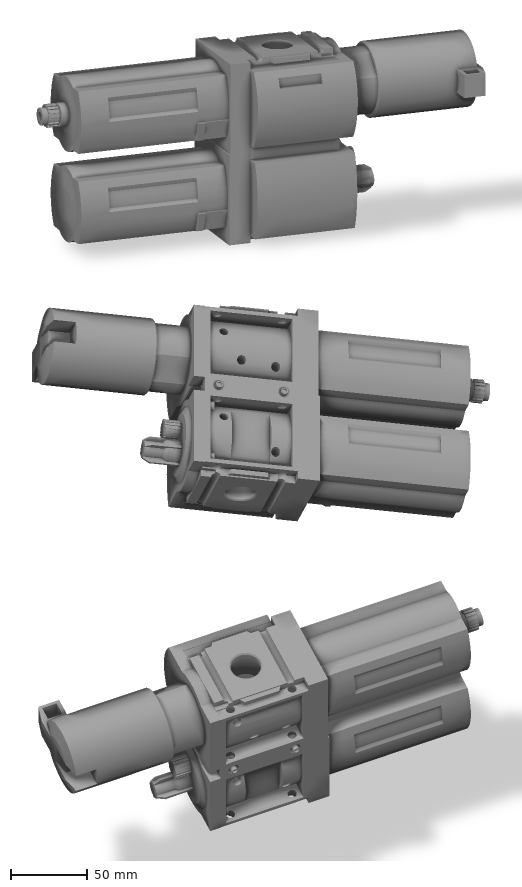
import cadquery as cq
import math


stack_height = 124.0
unit_half_height = stack_height / 4
upper_z = unit_half_height
lower_z = -unit_half_height
body_width = 63.0
half_width = body_width / 2
core_half_height = 25.7
flange_half_height = 26.0
core_back_y = 39.0
rail_half_length = 31.5
upper_front_y = -45.3
lower_front_y = -46.2
rail_depth = unit_half_height - core_half_height
platform_half_width = 23.8
collar_radius = 30.5

channel_diameter = 5.5
channel_y = 22.0
corner_step_height = 1.0
corner_step_x = 20.5
lip_width = 3.3
lip_half_length = 14.5
lip_chamfer = 2.0
lip_height = 3.3
lip_top_gap = 1.0
port_diameter = 21.7
port_bore_diameter = 20.0
port_chamfer = (port_diameter - port_bore_diameter) / 2
port_depth = 21.0
nut_hole_diameter = 6.0
nut_hole_x = -26.0

pocket_half_length = 27.8
pocket_half_height = 23.0
drum_radius = 29.0
drum_half_height = 21.0
pocket_floor_x = -10.5
screw_hole_diameter = 6.0
screw_hole_y = 17.5
screw_hole_z = 11.0
screw_hole_floor_x = -15.7
gauge_hole_y = 5.7
gauge_hole_z = -8.8
flat_half_height = 18.7
flat_back_y = 12.5
flat_front_y = -14.2
flat_x = -math.sqrt(drum_radius**2 - flat_half_height**2)
clip_diameter = 7.2
clip_width = 4.0
clip_x = -23.5

cover_half_height = flange_half_height
upper_cover_edge_x = 37.7
upper_cover_crown_x = 46.0
lower_cover_edge_x = 40.5
lower_cover_crown_x = 45.0
label_half_length = 15.0
label_bottom_z = 14.2
label_top_z = 21.0
label_floor_x = 39.5

bowl_end_y = -149.0
bowl_side_x = 27.8
bowl_corner_x = 22.0
bowl_flat_z = 21.5
bowl_bulge_x = 12.5
bowl_crown_z = 25.7
cap_base_diameter = 43.0
cap_top_diameter = 23.5
cap_height = 1.0
sight_back_y = -66.7
sight_front_y = -129.2
sight_top_z = 16.0
sight_floor_top_z = 13.0
sight_floor_bottom_z = 2.0
sight_outer_x = 29.5
sight_rim_x = 24.8
sight_floor_top_x = 23.8
sight_floor_bottom_x = 26.0
sight_floor_middle_x = 25.5
latch_top_z = -7.5
latch_bottom_z = -20.5
latch_slant = 4.5
latch_inner_x = 26.0
latch_outer_x = 29.0
button_outer_x = 30.8
button_back_y = -62.5
button_front_y = -67.0

drain_diameter = 15.7
drain_neck_end_y = -155.2
drain_groove_diameter = 11.8
knurl_start_y = -156.7
knurl_end_y = -163.5
knurl_groove_count = 16
knurl_groove_width = 1.2
knurl_groove_depth = 1.2
tip_start_y = -164.8
tip_end_y = -167.5
tip_diameter = 11.8
drain_bore_diameter = 6.0
drain_bore_depth = 6.0

knob_diameter = 51.0
knob_front_y = 62.0
knob_edge_y = 131.5
knob_back_y = 134.3
knob_crown_diameter = 30.8
knob_chamfer = 1.0
neck_diameter = 45.3
neck_flat_distance = 20.5
neck_flat_angle = 45
slot_half_height = 7.8
slot_start_y = 116.8
slot_floor_x = -7.5
lock_tab_x = 39.0
lock_bevel_length = 11.8
lock_window_inner_x = 27.2
lock_window_outer_x = 36.8
lock_window_front_y = 119.5
lock_window_back_y = 129.8

head_diameter = 51.0
head_top_diameter = 41.7
head_top_y = 41.7
filler_z = 10.3
filler_diameter = 13.5
filler_end_y = 52.5
filler_rib_count = 16
filler_groove_width = 1.0
filler_groove_depth = 0.75
post_z = -5.7
post_lower_diameter = 15.7
post_shoulder_y = 50.7
post_upper_diameter = 11.8
post_waist_y = 53.5
post_end_y = 66.0
post_chamfer_length = 4.5
post_chamfer_height = 2.7
fin_height = 18.7
fin_thickness = 1.8

frame_half_height = rail_depth
frame_half_length = rail_half_length
frame_inner_x = platform_half_width
frame_right_overhang = 0.5
frame_right_pad_half_height = 4.2
bolt_diameter = 4.5
bolt_end_x = -33.5
bolt_socket_diameter = 3.3
bolt_socket_depth = 1.5
countersink_diameter = 7.8


def box(x0, x1, y0, y1, z0, z1):
    """Box between two corners."""
    return cq.Workplane("XY").box(x1 - x0, y1 - y0, z1 - z0, centered=False).translate((x0, y0, z0))


def y_cylinder(diameter, y0, y1, x=0, z=0):
    """Cylinder along Y from y0 to y1."""
    return cq.Workplane("XZ", origin=(x, y0, z)).circle(diameter / 2).extrude(y0 - y1)


def x_cylinder(diameter, x0, x1, y, z):
    """Cylinder along X from x0 to x1."""
    return cq.Workplane("YZ", origin=(x0, y, z)).circle(diameter / 2).extrude(x1 - x0)


def y_cone(diameter0, diameter1, y0, y1):
    """Cone about the Y axis, from diameter0 at y0 to diameter1 at y1."""
    profile = [(0, y0), (diameter0 / 2, y0), (diameter1 / 2, y1), (0, y1)]
    return cq.Workplane("XY").polyline(profile).close().revolve(360, (0, 0, 0), (0, 1, 0))


def y_prism(points, y0, y1):
    """Prism along Y with an (X, Z) outline."""
    return cq.Workplane("XZ", origin=(0, y0, 0)).polyline(points).close().extrude(y0 - y1)


def cut_axial_grooves(shape, diameter, y0, y1, count, width, depth):
    """Cut equally spaced straight grooves into a cylinder about the Y axis."""
    radius = diameter / 2
    groove = box(radius - depth, radius + depth, y0, y1, -width / 2, width / 2)
    for index in range(count):
        shape = shape.cut(groove.rotate((0, 0, 0), (0, 1, 0), index * 360 / count))
    return shape


def clamp_lip(side, face):
    """Chamfered lip along a platform edge; side is the X sign and face the Z sign."""
    root_x = platform_half_width - lip_chamfer
    tip_x = platform_half_width + lip_width
    tip_half_length = lip_half_length - lip_chamfer
    outline = [
        (side * root_x, -lip_half_length),
        (side * platform_half_width, -lip_half_length),
        (side * tip_x, -tip_half_length),
        (side * tip_x, tip_half_length),
        (side * platform_half_width, lip_half_length),
        (side * root_x, lip_half_length),
    ]
    lip_start = face * (unit_half_height - lip_top_gap - lip_height)
    plane = cq.Workplane("XY", origin=(0, 0, lip_start))
    return plane.polyline(outline).close().extrude(face * lip_height)


def housing_block(front_y):
    """Front block, lower core, flange, and the two platforms with their clamp details."""
    block = box(-half_width, half_width, front_y, -rail_half_length, -unit_half_height, unit_half_height)
    core = box(-half_width, half_width, -rail_half_length, core_back_y, -core_half_height, core_half_height)
    flange = box(
        -half_width, half_width, rail_half_length, core_back_y, -flange_half_height, flange_half_height
    )
    platforms = box(
        -platform_half_width, platform_half_width, -rail_half_length, rail_half_length,
        -unit_half_height, unit_half_height,
    )
    collar = y_cylinder(2 * collar_radius, rail_half_length, core_back_y)
    body = block.union(core).union(flange).union(platforms).union(collar)
    for face in (-1, 1):
        for side in (-1, 1):
            body = body.union(clamp_lip(side, face))
            step_floor = face * (core_half_height + corner_step_height)
            step_x = sorted((side * corner_step_x, side * platform_half_width))
            step_z = sorted((step_floor, face * unit_half_height))
            body = body.cut(box(*step_x, channel_y, rail_half_length, *step_z))
        for y in (-channel_y, channel_y):
            channel = x_cylinder(
                channel_diameter, -platform_half_width, platform_half_width, y, face * unit_half_height
            )
            body = body.cut(channel)
    return body


def cut_side_pocket(body):
    """Open the -X side down to a round drum wall, with screw and nut holes."""
    pocket = box(
        -half_width, pocket_floor_x, -pocket_half_length, pocket_half_length,
        -pocket_half_height, pocket_half_height,
    )
    drum = y_cylinder(2 * drum_radius, -pocket_half_length, pocket_half_length).intersect(
        box(
            -drum_radius, drum_radius, -pocket_half_length, pocket_half_length,
            -drum_half_height, drum_half_height,
        )
    )
    body = body.cut(pocket.cut(drum))
    for sign in (-1, 1):
        hole = x_cylinder(
            screw_hole_diameter, -half_width, screw_hole_floor_x, sign * screw_hole_y, sign * screw_hole_z
        )
        body = body.cut(hole)
    nut_hole_length = unit_half_height - pocket_half_height
    for y in (-channel_y, channel_y):
        for start_z in (pocket_half_height, -unit_half_height):
            plane = cq.Workplane("XY", origin=(nut_hole_x, y, start_z))
            body = body.cut(plane.circle(nut_hole_diameter / 2).extrude(nut_hole_length))
    return body


def side_cover(edge_x, crown_x):
    """Domed cover on the +X side."""
    return (
        cq.Workplane("XZ", origin=(0, -rail_half_length, 0))
        .moveTo(half_width, -cover_half_height)
        .lineTo(edge_x, -cover_half_height)
        .threePointArc((crown_x, 0), (edge_x, cover_half_height))
        .lineTo(half_width, cover_half_height)
        .close()
        .extrude(-rail_half_length - core_back_y)
    )


def sight_slot(side):
    """Recess with sloped walls and a curved floor in one side of the bowl."""
    floor_middle_z = (sight_floor_bottom_z + sight_floor_top_z) / 2
    return (
        cq.Workplane("XZ", origin=(0, sight_front_y, 0))
        .moveTo(side * sight_outer_x, 0)
        .lineTo(side * bowl_side_x, 0)
        .lineTo(side * sight_floor_bottom_x, sight_floor_bottom_z)
        .threePointArc(
            (side * sight_floor_middle_x, floor_middle_z),
            (side * sight_floor_top_x, sight_floor_top_z),
        )
        .lineTo(side * sight_rim_x, sight_top_z)
        .lineTo(side * sight_outer_x, sight_top_z)
        .close()
        .extrude(sight_front_y - sight_back_y)
    )


def latch_plate(outer_x, y0, y1):
    """Slanted plate lying against the lower +X side of the bowl."""
    outline = [
        (latch_inner_x, latch_top_z),
        (outer_x, latch_top_z),
        (outer_x - latch_slant, latch_bottom_z),
        (latch_inner_x - latch_slant, latch_bottom_z),
    ]
    return y_prism(outline, y0, y1)


def bowl(front_y):
    """Bowl guard with bulged flats, two sight slots, latch and end cone."""
    guard = (
        cq.Workplane("XZ", origin=(0, bowl_end_y, 0))
        .moveTo(bowl_corner_x, -bowl_flat_z)
        .threePointArc((bowl_side_x, 0), (bowl_corner_x, bowl_flat_z))
        .lineTo(bowl_bulge_x, bowl_flat_z)
        .threePointArc((0, bowl_crown_z), (-bowl_bulge_x, bowl_flat_z))
        .lineTo(-bowl_corner_x, bowl_flat_z)
        .threePointArc((-bowl_side_x, 0), (-bowl_corner_x, -bowl_flat_z))
        .lineTo(-bowl_bulge_x, -bowl_flat_z)
        .threePointArc((0, -bowl_crown_z), (bowl_bulge_x, -bowl_flat_z))
        .close()
        .extrude(bowl_end_y - front_y)
    )
    for side in (-1, 1):
        guard = guard.cut(sight_slot(side))
    latch = latch_plate(latch_outer_x, button_front_y, front_y)
    button = latch_plate(button_outer_x, button_front_y, button_back_y)
    cap = y_cone(cap_top_diameter, cap_base_diameter, bowl_end_y - cap_height, bowl_end_y)
    return guard.union(latch).union(button).union(cap)


def cut_port(body, face):
    """Blind chamfered port in the outer platform on the given Z side."""
    inward = -face
    plane = cq.Workplane("XY", origin=(0, 0, face * unit_half_height))
    bore = plane.circle(port_bore_diameter / 2).extrude(inward * port_depth)
    lead_in = plane.circle(port_diameter / 2).workplane(offset=inward * port_chamfer)
    lead_in = lead_in.circle(port_bore_diameter / 2).loft()
    return body.cut(bore).cut(lead_in)


def base_unit(front_y, cover_edge_x, cover_crown_x, port_face):
    """Features shared by the filter-regulator and the lubricator."""
    body = cut_side_pocket(housing_block(front_y))
    body = body.union(side_cover(cover_edge_x, cover_crown_x))
    body = body.union(bowl(front_y))
    return cut_port(body, port_face)


def drain():
    """Knurled drain screw below the filter bowl."""
    cap_end_y = bowl_end_y - cap_height
    screw = y_cylinder(drain_diameter, drain_neck_end_y, cap_end_y)
    screw = screw.union(y_cylinder(drain_groove_diameter, tip_start_y, drain_neck_end_y))
    knurl = y_cylinder(drain_diameter, knurl_end_y, knurl_start_y)
    knurl = cut_axial_grooves(
        knurl, drain_diameter, knurl_end_y, knurl_start_y,
        knurl_groove_count, knurl_groove_width, knurl_groove_depth,
    )
    tip = y_cylinder(tip_diameter, tip_end_y, tip_start_y)
    bore = y_cylinder(drain_bore_diameter, tip_end_y, tip_end_y + drain_bore_depth)
    return screw.union(knurl).union(tip).cut(bore)


def knob():
    """Neck with two flats, slotted knob and its lock tab."""
    neck = y_cylinder(neck_diameter, core_back_y, knob_front_y)
    neck_radius = neck_diameter / 2
    for side_angle in (0, 180):
        flat = box(neck_flat_distance, neck_radius, core_back_y, knob_front_y, -neck_radius, neck_radius)
        neck = neck.cut(flat.rotate((0, 0, 0), (0, 1, 0), side_angle - neck_flat_angle))
    grip = y_cylinder(knob_diameter, knob_front_y, knob_edge_y).faces("<Y").chamfer(knob_chamfer)
    crown = y_cone(knob_diameter, knob_crown_diameter, knob_edge_y, knob_back_y)
    slot_outline = [
        (-knob_diameter, slot_start_y),
        (slot_floor_x, slot_start_y),
        (slot_floor_x, knob_edge_y),
        (slot_floor_x + lock_bevel_length, knob_back_y),
        (-knob_diameter, knob_back_y),
    ]
    slot_plane = cq.Workplane("XY", origin=(0, 0, -slot_half_height))
    slot = slot_plane.polyline(slot_outline).close().extrude(2 * slot_half_height)
    tab_outline = [
        (0, slot_start_y),
        (lock_tab_x, slot_start_y),
        (lock_tab_x, knob_edge_y),
        (lock_tab_x - lock_bevel_length, knob_back_y),
        (0, knob_back_y),
    ]
    tab = slot_plane.polyline(tab_outline).close().extrude(2 * slot_half_height)
    window = box(
        lock_window_inner_x, lock_window_outer_x, lock_window_front_y, lock_window_back_y,
        -slot_half_height, slot_half_height,
    )
    return neck.union(grip).union(crown).union(tab).cut(slot).cut(window)


def make_filter_regulator():
    unit = base_unit(upper_front_y, upper_cover_edge_x, upper_cover_crown_x, 1)
    gauge_hole = x_cylinder(screw_hole_diameter, -half_width, screw_hole_floor_x, gauge_hole_y, gauge_hole_z)
    label = box(
        label_floor_x, upper_cover_crown_x, -label_half_length, label_half_length, label_bottom_z, label_top_z
    )
    unit = unit.cut(gauge_hole).cut(label)
    unit = unit.union(drain()).union(knob())
    return unit.translate((0, 0, upper_z))


def lubricator_head():
    """Conical cap with a ribbed filler plug and a finned drip post."""
    cap = y_cone(head_diameter, head_top_diameter, core_back_y, head_top_y)
    filler = y_cylinder(filler_diameter, core_back_y, filler_end_y)
    filler = cut_axial_grooves(
        filler, filler_diameter, head_top_y, filler_end_y,
        filler_rib_count, filler_groove_width, filler_groove_depth,
    ).translate((0, 0, filler_z))
    lower_post = y_cylinder(post_lower_diameter, core_back_y, post_shoulder_y)
    shoulder = y_cone(post_lower_diameter, post_upper_diameter, post_shoulder_y, post_waist_y)
    upper_post = y_cylinder(post_upper_diameter, post_waist_y, post_end_y)
    post = lower_post.union(shoulder).union(upper_post)
    fin_radius = fin_height / 2
    fin_outline = [
        (-fin_radius, core_back_y),
        (fin_radius, core_back_y),
        (fin_radius, post_end_y - post_chamfer_length),
        (fin_radius - post_chamfer_height, post_end_y),
        (post_chamfer_height - fin_radius, post_end_y),
        (-fin_radius, post_end_y - post_chamfer_length),
    ]
    fin = cq.Workplane("XY", origin=(0, 0, -fin_thickness / 2)).polyline(fin_outline).close()
    fin = fin.extrude(fin_thickness)
    for angle in (0, 90):
        post = post.union(fin.rotate((0, 0, 0), (0, 1, 0), angle))
    return cap.union(filler).union(post.translate((0, 0, post_z)))


def drum_clip(sign):
    """Small round clip at the rear of the side pocket."""
    return y_cylinder(
        clip_diameter, pocket_half_length - clip_width, pocket_half_length, clip_x, sign * flat_half_height
    )


def make_lubricator():
    unit = base_unit(lower_front_y, lower_cover_edge_x, lower_cover_crown_x, -1)
    drum_flat = box(-drum_radius, flat_x, flat_front_y, flat_back_y, -flat_half_height, flat_half_height)
    unit = unit.cut(drum_flat).union(lubricator_head())
    for sign in (-1, 1):
        unit = unit.union(drum_clip(sign))
    return unit.translate((0, 0, lower_z))


def make_clamp_frame(upper_unit, lower_unit):
    """Two side bars in the clamp slots, joined by sleeves in the round channels."""
    left_bar = box(
        -half_width, -frame_inner_x, -frame_half_length, frame_half_length,
        -frame_half_height, frame_half_height,
    )
    right_bar = box(
        frame_inner_x, half_width, -frame_half_length, frame_half_length,
        -frame_half_height, frame_half_height,
    )
    pad = box(
        half_width, half_width + frame_right_overhang, -frame_half_length, frame_half_length,
        -frame_right_pad_half_height, frame_right_pad_half_height,
    )
    frame = left_bar.union(right_bar).union(pad)
    sink_depth = (countersink_diameter - bolt_diameter) / 2
    for y in (-channel_y, channel_y):
        frame = frame.union(x_cylinder(channel_diameter, -frame_inner_x, frame_inner_x, y, 0))
    frame = frame.cut(upper_unit).cut(lower_unit)
    for y in (-channel_y, channel_y):
        frame = frame.cut(x_cylinder(bolt_diameter, -half_width, frame_inner_x, y, 0))
        sink = cq.Workplane("YZ", origin=(-half_width, y, 0)).circle(countersink_diameter / 2)
        sink = sink.workplane(offset=sink_depth).circle(bolt_diameter / 2).loft()
        frame = frame.cut(sink)
    return frame


def make_bolt(y):
    """Socket bolt through a sleeve of the clamp frame."""
    shank = x_cylinder(bolt_diameter, bolt_end_x, frame_inner_x, y, 0)
    socket = x_cylinder(bolt_socket_diameter, bolt_end_x, bolt_end_x + bolt_socket_depth, y, 0)
    return shank.cut(socket)


filter_regulator = make_filter_regulator()
lubricator = make_lubricator()
clamp_frame = make_clamp_frame(filter_regulator, lubricator)
bolts = [make_bolt(y) for y in (-channel_y, channel_y)]

result = cq.Compound.makeCompound([
    filter_regulator.solids().val(),
    lubricator.solids().val(),
    clamp_frame.solids().val(),
    *[bolt.solids().val() for bolt in bolts],
])